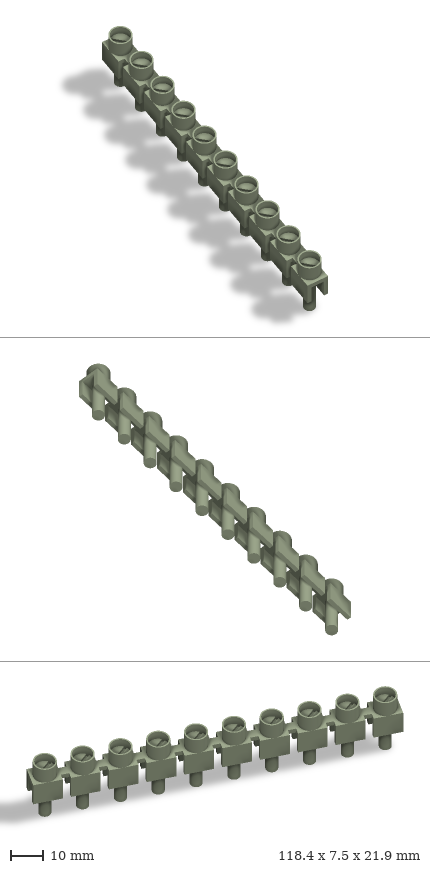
import cadquery as cq

LENGTH = 118.4
STATIONS = 10
BLOCK_LENGTH = 9.5
PITCH = (LENGTH - BLOCK_LENGTH) / (STATIONS - 1)

WIDTH = 7.5
BLOCK_HEIGHT = 8.2
CHANNEL_WIDTH = 4.6
WEB_THICKNESS = 1.7

BRIDGE_WIDTH = 3.1

COLLAR_DIAMETER = WIDTH
COLLAR_HEIGHT = 5.6
BORE_DIAMETER = 6.5

HEAD_DEPTH = 3.0
SLOT_WIDTH = 1.1
SLOT_DEPTH = 1.0
SLOT_ANGLE = 45.0

SHANK_DIAMETER = 4.0
TOTAL_HEIGHT = 21.9
SHANK_LENGTH = TOTAL_HEIGHT - COLLAR_HEIGHT - WEB_THICKNESS

COLLAR_TOP = COLLAR_HEIGHT
HEAD_TOP = COLLAR_TOP - HEAD_DEPTH


def box_below(length, width, height, top):
    """Box centred on the Z axis, hanging down from the given height."""
    return (
        cq.Workplane("XY")
        .workplane(offset=top)
        .rect(length, width)
        .extrude(-height)
    )


def cylinder_below(diameter, height, top):
    """Cylinder on the Z axis, hanging down from the given height."""
    return cq.Workplane("XY").workplane(offset=top).circle(diameter / 2).extrude(-height)


def make_block():
    channel_height = BLOCK_HEIGHT - WEB_THICKNESS
    channel = box_below(BLOCK_LENGTH, CHANNEL_WIDTH, channel_height, -WEB_THICKNESS)
    return box_below(BLOCK_LENGTH, WIDTH, BLOCK_HEIGHT, 0).cut(channel)


def make_collar():
    """Collar with the slotted screw head recessed in its bore."""
    collar = cylinder_below(COLLAR_DIAMETER, COLLAR_HEIGHT, COLLAR_TOP)
    bore = cylinder_below(BORE_DIAMETER, HEAD_DEPTH, COLLAR_TOP)
    slot = box_below(BORE_DIAMETER, SLOT_WIDTH, SLOT_DEPTH, HEAD_TOP)
    slot = slot.rotate((0, 0, 0), (0, 0, 1), SLOT_ANGLE)
    slot = slot.intersect(cylinder_below(BORE_DIAMETER, SLOT_DEPTH, HEAD_TOP))
    return collar.cut(bore).cut(slot)


def make_station():
    shank = cylinder_below(SHANK_DIAMETER, SHANK_LENGTH, -WEB_THICKNESS)
    return make_block().union(make_collar()).union(shank)


station = make_station()
result = box_below(LENGTH, BRIDGE_WIDTH, WEB_THICKNESS, 0)
for index in range(STATIONS):
    x_centre = (index - (STATIONS - 1) / 2) * PITCH
    result = result.union(station.translate((x_centre, 0, 0)))